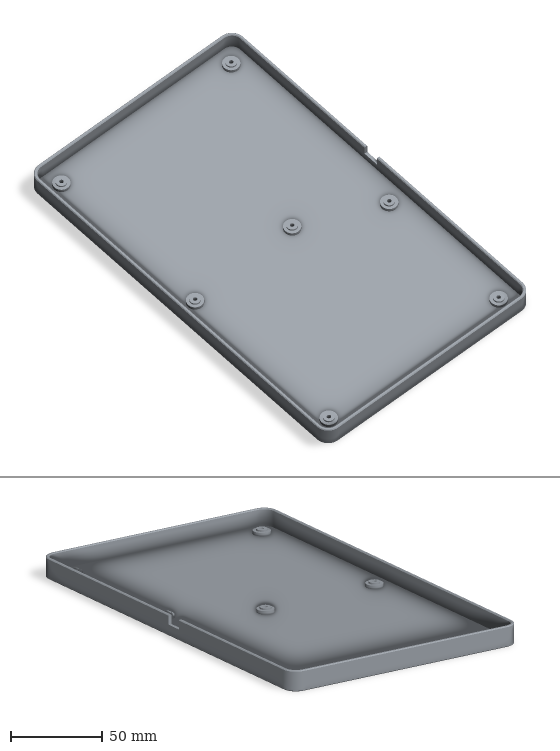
import cadquery as cq

length = 246.0
width = 151.0
height = 12.0
corner_radius = 8.0
wall = 2.0
floor_thickness = 2.0
edge_chamfer = 0.5

notch_center_x = -7.6
notch_width = 10.0
notch_depth = 5.7

boss_diameter = 10.0
boss_height = 2.0
collar_diameter = 6.5
collar_height = 1.0
screw_hole_diameter = 2.5
boss_x = 110.0
boss_y = 62.5
boss_positions = [
    (-boss_x, -boss_y),
    (0, -boss_y),
    (boss_x, -boss_y),
    (-boss_x, boss_y),
    (20.0, boss_y),
    (boss_x, boss_y),
    (-3.0, 11.5),
]


def rounded_block(inset, bottom, top):
    """Upright block with rounded corners, inset evenly from the tray outline."""
    return (
        cq.Workplane("XY", origin=(0, 0, bottom))
        .rect(length - 2 * inset, width - 2 * inset)
        .extrude(top - bottom)
        .edges("|Z")
        .fillet(corner_radius - inset)
    )


def make_frame():
    """Rim with chamfered edges and a notch through its back wall."""
    outside = rounded_block(0, 0, height).faces("<Z").chamfer(edge_chamfer)
    frame = outside.cut(rounded_block(wall, 0, height))
    notch = (
        cq.Workplane("XY", origin=(notch_center_x, width / 2 - wall / 2, height - notch_depth))
        .rect(notch_width, 2 * wall)
        .extrude(notch_depth)
    )
    frame = frame.faces(">Z").chamfer(edge_chamfer)
    return frame.cut(notch)


def make_floor():
    """Floor plate with stepped, drilled bosses."""
    plate = rounded_block(wall, 0, floor_thickness)
    bosses = (
        cq.Workplane("XY", origin=(0, 0, floor_thickness))
        .pushPoints(boss_positions)
        .circle(boss_diameter / 2)
        .extrude(boss_height)
    )
    collars = (
        cq.Workplane("XY", origin=(0, 0, floor_thickness + boss_height))
        .pushPoints(boss_positions)
        .circle(collar_diameter / 2)
        .extrude(collar_height)
    )
    holes = (
        cq.Workplane("XY", origin=(0, 0, floor_thickness))
        .pushPoints(boss_positions)
        .circle(screw_hole_diameter / 2)
        .extrude(boss_height + collar_height)
    )
    return plate.union(bosses).union(collars).cut(holes)


frame = make_frame()
floor = make_floor()

result = cq.Compound.makeCompound([frame.val(), floor.val()])